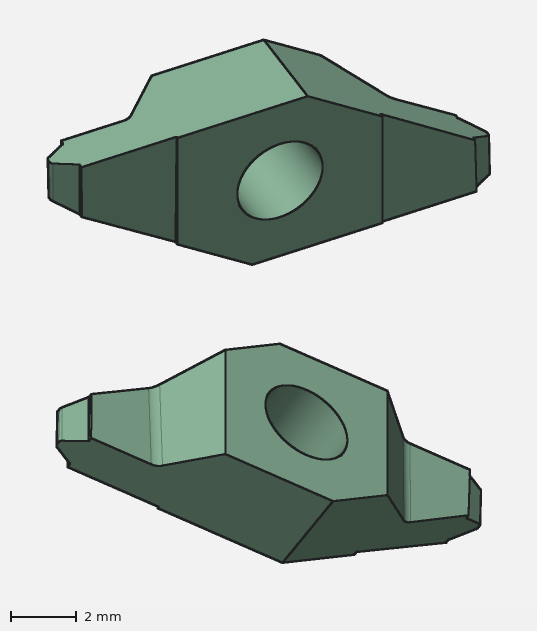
import cadquery as cq
import math

width = 3.0
length = 15.0
height = 6.0
half_length = length / 2
half_height = height / 2

slope_start = 0.95
end_height = 1.47
hole_diameter = 2.91

body_flat_half = 2.88
body_step_half = 3.5
body_root_x = 1.72

neck_center = 2.24
neck_half = 0.7
shoulder_half = 0.55
tip_half = 0.12
tip_radius = 0.12
shoulder_y = 6.74
head_inner_y = 3.3
relief_angle = 1.0
head_depth = 4.8
neck_fillet = 0.45


def make_body():
    """Full-height block with a 45 degree face towards each neck."""
    root_y = body_flat_half + body_root_x
    outline = [
        (0, -body_flat_half),
        (body_root_x, -root_y),
        (neck_center, -root_y),
        (neck_center, -body_step_half),
        (width, -body_step_half),
        (width, body_step_half),
        (neck_center, body_step_half),
        (neck_center, root_y),
        (body_root_x, root_y),
        (0, body_flat_half),
    ]
    return cq.Workplane("XY").workplane(offset=-half_height).polyline(outline).close().extrude(height)


def make_head():
    """Head at the -Y end, narrowing downwards from its top cutting face."""
    flank_run = shoulder_half - tip_half
    flank_rise = half_length - shoulder_y
    flank_length = math.hypot(flank_run, flank_rise)
    turn = math.atan2(flank_rise, flank_run)
    setback = tip_radius * math.tan(turn / 2)
    flat_half = tip_half - setback
    round_half = tip_half + setback * flank_run / flank_length
    round_y = half_length - setback * flank_rise / flank_length
    middle_half = flat_half + tip_radius * math.sin(turn / 2)
    middle_y = half_length - tip_radius * (1 - math.cos(turn / 2))
    return (
        cq.Workplane("XY", origin=(neck_center, 0, half_height))
        .moveTo(-neck_half, -head_inner_y)
        .lineTo(-neck_half, -shoulder_y)
        .lineTo(-shoulder_half, -shoulder_y)
        .lineTo(-round_half, -round_y)
        .threePointArc((-middle_half, -middle_y), (-flat_half, -half_length))
        .lineTo(flat_half, -half_length)
        .threePointArc((middle_half, -middle_y), (round_half, -round_y))
        .lineTo(shoulder_half, -shoulder_y)
        .lineTo(neck_half, -shoulder_y)
        .lineTo(neck_half, -head_inner_y)
        .close()
        .extrude(-head_depth, taper=relief_angle)
    )


def make_silhouette():
    """Hexagonal side outline, extruded across the width."""
    outline = [
        (slope_start, half_height),
        (half_length, end_height - half_height),
        (half_length, -half_height),
        (-slope_start, -half_height),
        (-half_length, half_height - end_height),
        (-half_length, half_height),
    ]
    return cq.Workplane("YZ").polyline(outline).close().extrude(width)


head = make_head()
opposite_head = head.rotate((0, 0, 0), (1, 0, 0), 180)
blank = make_body().union(head).union(opposite_head)

trimmed = blank.intersect(make_silhouette())
corner_x = neck_center - neck_half
corner_y = body_flat_half + corner_x
search_margin = 0.22
corner_edges = cq.selectors.BoxSelector(
    (corner_x - search_margin, -corner_y - search_margin, -half_height),
    (corner_x + search_margin, -corner_y + search_margin, half_height),
) + cq.selectors.BoxSelector(
    (corner_x - search_margin, corner_y - search_margin, -half_height),
    (corner_x + search_margin, corner_y + search_margin, half_height),
)
rounded = trimmed.edges(corner_edges).fillet(neck_fillet)

hole = cq.Workplane("YZ").circle(hole_diameter / 2).extrude(width)
result = rounded.cut(hole)